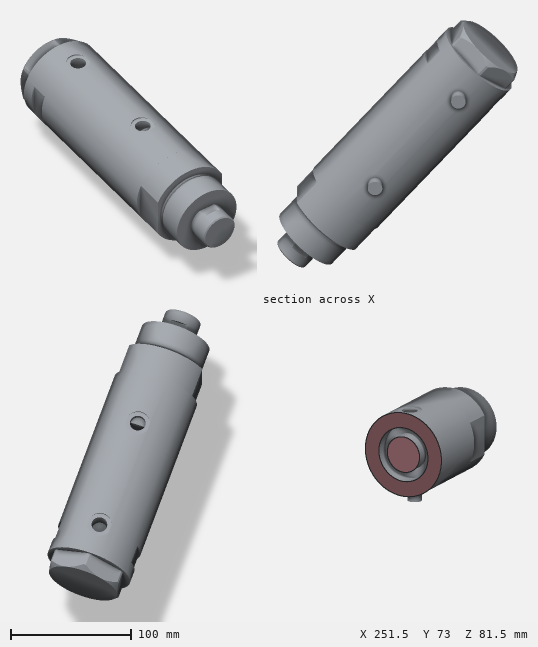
import cadquery as cq
import math

BODY_RADIUS = 36.5
OVERALL_LENGTH = 251.5

HEX_SIDES = 6
HEX_ACROSS_FLATS = 60.0
HEX_CORNER_RADIUS = 34.0
HEX_LENGTH = 14.5
CAP_FLANGE_THICKNESS = 1.5
TUBE_START = HEX_LENGTH + CAP_FLANGE_THICKNESS
CAP_SPIGOT_END = 42.8

TUBE_END = 182.2
BORE_RADIUS = 23.1
PORT_POSITIONS = (41.3, 137.4)
PORT_RADIUS = 6.5
SPOTFACE_RADIUS = 10.0
SPOTFACE_HEIGHT = 35.2
TUBE_FLAT_START = 26.0
TUBE_FLAT_LENGTH = 15.3
TUBE_FLAT_DISTANCE = 33.5
PIN_POSITIONS = (40.5, 145.5)
PIN_RADIUS = 6.0
PIN_PROTRUSION = 8.5

GLAND_START = PORT_POSITIONS[1]
GLAND_SPIGOT_RADIUS = 31.5
GLAND_HEAD_END = 207.3
GLAND_FLAT_DISTANCE = 32.2
COLLAR_RADIUS = 30.0
COLLAR_END = 232.2
COLLAR_CHAMFER = 0.8
NECK_RADIUS = 29.2
NECK_LENGTH = 1.8
RELIEF_RADIUS = 28.7
RELIEF_LENGTH = 1.3

PISTON_LENGTH = 25.2
ROD_RADIUS = 15.5
ROD_FLAT_DISTANCE = 13.5
ROD_FLAT_LENGTH = 9.0
ROD_CHAMFER = 1.0


def cylinder(start, end, radius):
    """Cylinder on the X axis between two X positions."""
    return cq.Workplane("YZ", origin=(start, 0, 0)).circle(radius).extrude(end - start)


def flats_cutter(start, end, distance):
    """Pair of slabs beyond Y = +/-distance between two X positions."""
    length = end - start
    center = (start + length / 2, 0, 0)
    outside = cq.Workplane("XY").box(length, 2 * BODY_RADIUS, 2 * BODY_RADIUS)
    inside = cq.Workplane("XY").box(length, 2 * distance, 2 * BODY_RADIUS)
    return outside.cut(inside).translate(center)


def make_cap():
    """Hex cap with its flange and the spigot that plugs the bore."""
    hex_diameter = HEX_ACROSS_FLATS / math.cos(math.pi / HEX_SIDES)
    chamfer = HEX_CORNER_RADIUS - HEX_ACROSS_FLATS / 2
    hexagon = (
        cq.Workplane("YZ")
        .polygon(HEX_SIDES, hex_diameter)
        .extrude(HEX_LENGTH)
        .rotate((0, 0, 0), (1, 0, 0), 90)
    )
    turned_blank = cylinder(0, HEX_LENGTH, HEX_CORNER_RADIUS).faces("<X").chamfer(chamfer)
    flange = cylinder(HEX_LENGTH, TUBE_START, BODY_RADIUS)
    spigot = cylinder(TUBE_START, CAP_SPIGOT_END, BORE_RADIUS)
    return hexagon.intersect(turned_blank).union(flange).union(spigot)


def make_tube():
    """Tube with ports, wrench flats, locating pins and a bore stepped for the gland."""
    tube = cylinder(TUBE_START, TUBE_END, BODY_RADIUS)
    for x in PIN_POSITIONS:
        pin = cq.Workplane("XY", origin=(x, 0, -BODY_RADIUS - PIN_PROTRUSION)).circle(PIN_RADIUS)
        tube = tube.union(pin.extrude(BODY_RADIUS + PIN_PROTRUSION))
    tube = tube.cut(cylinder(TUBE_START, TUBE_END, BORE_RADIUS))
    tube = tube.cut(cylinder(GLAND_START, TUBE_END, GLAND_SPIGOT_RADIUS))
    for x in PORT_POSITIONS:
        tube = tube.cut(cq.Workplane("XY", origin=(x, 0, 0)).circle(PORT_RADIUS).extrude(BODY_RADIUS))
        spotface = cq.Workplane("XY", origin=(x, 0, SPOTFACE_HEIGHT)).circle(SPOTFACE_RADIUS)
        tube = tube.cut(spotface.extrude(BODY_RADIUS))
    flat_end = TUBE_FLAT_START + TUBE_FLAT_LENGTH
    return tube.cut(flats_cutter(TUBE_FLAT_START, flat_end, TUBE_FLAT_DISTANCE))


def make_gland():
    """Gland whose spigot fits the tube, with a flatted head, a neck and an end collar."""
    neck_end = GLAND_HEAD_END + NECK_LENGTH
    relief_end = neck_end + RELIEF_LENGTH
    spigot = cylinder(GLAND_START, TUBE_END, GLAND_SPIGOT_RADIUS)
    head = cylinder(TUBE_END, GLAND_HEAD_END, BODY_RADIUS)
    head = head.cut(flats_cutter(TUBE_END, GLAND_HEAD_END, GLAND_FLAT_DISTANCE))
    neck = cylinder(GLAND_HEAD_END, neck_end, NECK_RADIUS)
    relief = cylinder(neck_end, relief_end, RELIEF_RADIUS)
    collar = cylinder(relief_end, COLLAR_END, COLLAR_RADIUS).faces("<X").chamfer(COLLAR_CHAMFER)
    gland = spigot.union(head).union(neck).union(relief).union(collar)
    return gland.cut(cylinder(GLAND_START, COLLAR_END, ROD_RADIUS))


def make_rod():
    """Piston resting on the cap spigot, in one piece with the rod."""
    piston = cylinder(CAP_SPIGOT_END, CAP_SPIGOT_END + PISTON_LENGTH, BORE_RADIUS)
    rod = cylinder(CAP_SPIGOT_END, OVERALL_LENGTH, ROD_RADIUS).faces(">X").chamfer(ROD_CHAMFER)
    flats = flats_cutter(COLLAR_END, COLLAR_END + ROD_FLAT_LENGTH, ROD_FLAT_DISTANCE)
    flats = flats.rotate((0, 0, 0), (1, 0, 0), 90)
    return piston.union(rod.cut(flats))


cap = make_cap()
tube = make_tube()
gland = make_gland()
rod = make_rod()

result = cq.Compound.makeCompound([cap.val(), tube.val(), gland.val(), rod.val()])